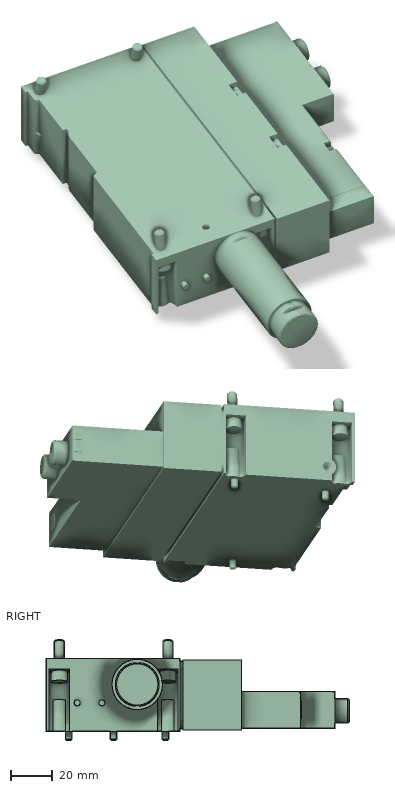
import cadquery as cq
import math


LENGTH = 142.2
MANIFOLD_DEPTH = 65.2
MANIFOLD_HEIGHT = 35.5

FOOT_WIDTH = 4.8
FOOT_STEP = 1.2
RAMP_START_X = 12.0
RAMP_END_X = 13.0
LEFT_PANEL_Y = 3.3
GROOVE_START_X = 37.5
GROOVE_FLOOR_END_X = 39.6
GROOVE_END_X = 42.8
GROOVE_FLOOR_Y = 5.5
MIDDLE_PANEL_Y = 4.0
MIDDLE_PANEL_END_X = 72.5
RIGHT_PANEL_START_X = 74.0

SCREW_TILT = 11.0
SCREW_EXIT_INSET = 7.5
SCREW_ROWS_Y = (6.5, 59.4)
SHANK_DIAMETER = 5.0
SHANK_LENGTH = 15.5
SHANK_CHAMFER = 0.6
HEAD_DIAMETER = 8.0
HEAD_HEIGHT = 5.0
SLOT_WIDTH = 10.0
SEAT_BELOW_TOP = 6.5
SLOT_RIB_DIAMETER = 10.0
SLOT_RIB_OFFSET = 7.9
SLOT_RIB_BELOW_SEAT = 13.3

PORT_Y = 13.7
PORT_Z = 6.9
PORT_BOSS_DIAMETER = 8.5
PORT_BOSS_LENGTH = 8.3
PORT_DIAMETER = 5.0
PORT_DEPTH = 2.5

VENT_X = 132.0
VENT_Y = 32.8
VENT_DIAMETER = 4.0
VENT_SEAT_DIAMETER = 2.5
VENT_DEPTH = 2.0

PIN_DIAMETER = 3.3
PIN_LENGTH = 4.4
PIN_CHAMFER = 0.6
PIN_PLACES = ((8.7, 58.1), (17.6, 11.0), (VENT_X, VENT_Y))
SIDE_PIN_DIAMETER = 3.0
SIDE_PIN_LENGTH = 2.7
SIDE_PIN_ROWS_Y = (15.2, 27.2)
SIDE_PIN_Z = 14.0

SILENCER_Y = 44.5
SILENCER_Z = 22.8
BARREL_DIAMETER = 24.5
BARREL_END_X = 197.2
CAP_DIAMETER = 21.4
CAP_END_X = 207.5
CAP_CHAMFER = 0.6
BARREL_NOTCH_START_X = 145.5
BARREL_NOTCH_END_X = 147.8
BARREL_NOTCH_FLOOR = 1.0
BARREL_NOTCH_DEPTH = 1.0
CAP_NOTCH_X = 202.0
CAP_NOTCH_TOP = 3.0
CAP_NOTCH_FLOOR = 1.5
CAP_NOTCH_DEPTH = 1.9
KEYWAY_WIDTH = 2.0
KEYWAY_DEPTH = 0.5

GASKET_THICKNESS = 1.5
GASKET_LEFT = 0.6
GASKET_RIGHT = 133.3
GASKET_MARGIN = 1.2
GASKET_CORNER = 4.2

BODY_FRONT = MANIFOLD_DEPTH + GASKET_THICKNESS
BODY_BACK = 95.3
BODY_MARGIN = 0.6

PLUG_LEFT = 0.6
PLUG_RIGHT = 59.8
PLUG_BOTTOM = 1.5
PLUG_TOP = 19.5
PLUG_BACK = 139.7
PLATE_THICKNESS = 1.0
PLATE_DROP = 0.2
TAB_LENGTH = 3.3
TAB_HEIGHT = 2.0
TAB_LEVELS = (7.3, 13.3)
CONNECTOR_PLACES_X = (15.4, 37.8)
CONNECTOR_Z = 10.0
CONNECTOR_DIAMETER = 12.0
CONNECTOR_END_Y = 147.8
CONNECTOR_CHAMFER = 0.8

COVER_END_X = 125.4
COVER_BACK = 124.0
COVER_FILLET = 1.2
END_CAP_X = 134.3
END_CAP_FILLET = 0.6
END_CAP_DROP = 0.2
BUTTON_X = 123.3
BUTTON_DIAMETER = 8.5
BUTTON_HEIGHT = 0.6

NOTCH_FLOOR_DEPTH = 3.3
REAR_HEAD_BELOW_TOP = 1.7
BODY_NOTCH_WIDTH = 9.0
BODY_NOTCH_REACH = 4.8
BODY_NOTCHES_X = (49.6, 92.2)
BODY_SCREW_HEADS_X = (50.0, 91.8)
BODY_SCREW_HEAD_DIAMETER = 7.9
BODY_SCREW_HEAD_RECESS = 1.0
COVER_NOTCH_X = 92.4
COVER_NOTCH_WIDTH = 6.2
COVER_NOTCH_REACH = 4.2
COVER_SCREW_HEAD_RECESS = 0.6


def box(x0, x1, y0, y1, z0, z1):
    return cq.Workplane("XY").box(x1 - x0, y1 - y0, z1 - z0, centered=False).translate((x0, y0, z0))


def rod(start, direction, diameter, length):
    return cq.Workplane(cq.Solid.makeCylinder(diameter / 2, length, cq.Vector(*start), cq.Vector(*direction)))


def place_on_screw_axis(shape, y, right_side):
    """Tilt a shape whose origin is the head seat and whose +Z is the screw axis, then put it in its side."""
    seat_inset = SCREW_EXIT_INSET - SEAT_BELOW_TOP * math.tan(math.radians(SCREW_TILT))
    shape = shape.rotate((0, 0, 0), (0, 1, 0), SCREW_TILT)
    shape = shape.translate((seat_inset, y, MANIFOLD_HEIGHT - SEAT_BELOW_TOP))
    if right_side:
        shape = shape.mirror("YZ").translate((LENGTH, 0, 0))
    return shape


def make_screw(y, right_side):
    shank = rod((0, 0, 0), (0, 0, 1), SHANK_DIAMETER, SHANK_LENGTH).faces(">Z").chamfer(SHANK_CHAMFER)
    head = rod((0, 0, -HEAD_HEIGHT), (0, 0, 1), HEAD_DIAMETER, HEAD_HEIGHT)
    return place_on_screw_axis(head.union(shank), y, right_side)


def screw_cutout(y, right_side):
    hole = rod((0, 0, 0), (0, 0, 1), SHANK_DIAMETER, SHANK_LENGTH)
    reach = MANIFOLD_HEIGHT
    slot = rod((0, 0, -reach), (0, 0, 1), SLOT_WIDTH, reach)
    slot = slot.union(box(-reach, 0, -SLOT_WIDTH / 2, SLOT_WIDTH / 2, -reach, 0))
    return place_on_screw_axis(slot.union(hole), y, right_side)


def slot_rib(y, right_side):
    """Round rib parallel to the screw that stands out of the slot floor, cut flush with the underside."""
    reach = MANIFOLD_HEIGHT
    rib = rod((SLOT_RIB_OFFSET, 0, -reach), (0, 0, 1), SLOT_RIB_DIAMETER, reach - SLOT_RIB_BELOW_SEAT)
    rib = place_on_screw_axis(rib, y, right_side)
    return rib.intersect(box(0, LENGTH, 0, MANIFOLD_DEPTH, 0, MANIFOLD_HEIGHT))


def make_manifold():
    outline = [
        (0, 0),
        (FOOT_WIDTH, 0),
        (FOOT_WIDTH, FOOT_STEP),
        (RAMP_START_X, FOOT_STEP),
        (RAMP_END_X, LEFT_PANEL_Y),
        (GROOVE_START_X, LEFT_PANEL_Y),
        (GROOVE_START_X, GROOVE_FLOOR_Y),
        (GROOVE_FLOOR_END_X, GROOVE_FLOOR_Y),
        (GROOVE_END_X, MIDDLE_PANEL_Y),
        (MIDDLE_PANEL_END_X, MIDDLE_PANEL_Y),
        (RIGHT_PANEL_START_X, FOOT_STEP),
        (LENGTH - FOOT_WIDTH, FOOT_STEP),
        (LENGTH - FOOT_WIDTH, 0),
        (LENGTH, 0),
        (LENGTH, MANIFOLD_DEPTH),
        (0, MANIFOLD_DEPTH),
    ]
    block = cq.Workplane("XY").polyline(outline).close().extrude(MANIFOLD_HEIGHT)
    for y in SCREW_ROWS_Y:
        for right_side in (False, True):
            block = block.cut(screw_cutout(y, right_side)).union(slot_rib(y, right_side))

    boss = rod((0, PORT_Y, PORT_Z), (1, 0, 0), PORT_BOSS_DIAMETER, PORT_BOSS_LENGTH)
    block = block.union(boss)
    port_cone = cq.Solid.makeCone(
        PORT_DIAMETER / 2, 0, PORT_DEPTH, cq.Vector(0, PORT_Y, PORT_Z), cq.Vector(1, 0, 0)
    )
    block = block.cut(cq.Workplane(port_cone))

    vent_cone = cq.Solid.makeCone(
        VENT_DIAMETER / 2, VENT_SEAT_DIAMETER / 2, VENT_DEPTH,
        cq.Vector(VENT_X, VENT_Y, MANIFOLD_HEIGHT), cq.Vector(0, 0, -1),
    )
    block = block.cut(cq.Workplane(vent_cone))

    for x, y in PIN_PLACES:
        pin = rod((x, y, 0), (0, 0, -1), PIN_DIAMETER, PIN_LENGTH).faces("<Z").chamfer(PIN_CHAMFER)
        block = block.union(pin)
    for y in SIDE_PIN_ROWS_Y:
        block = block.union(rod((LENGTH, y, SIDE_PIN_Z), (1, 0, 0), SIDE_PIN_DIAMETER, SIDE_PIN_LENGTH))
    return block


def cross_notch(profile):
    """A notch cut straight across a round side, with its profile given as (x, height above the axis)."""
    return cq.Workplane("XZ").polyline(profile).close().extrude(BARREL_DIAMETER / 2, both=True)


def make_silencer():
    barrel = rod((LENGTH, 0, 0), (1, 0, 0), BARREL_DIAMETER, BARREL_END_X - LENGTH)
    cap = rod((BARREL_END_X, 0, 0), (1, 0, 0), CAP_DIAMETER, CAP_END_X - BARREL_END_X)
    cap = cap.faces(">X").chamfer(CAP_CHAMFER)
    barrel_radius = BARREL_DIAMETER / 2
    cap_radius = CAP_DIAMETER / 2

    barrel_notch = cross_notch(
        [
            (BARREL_NOTCH_START_X, barrel_radius),
            (BARREL_NOTCH_END_X, barrel_radius),
            (BARREL_NOTCH_END_X, barrel_radius - BARREL_NOTCH_DEPTH),
            (BARREL_NOTCH_END_X - BARREL_NOTCH_FLOOR, barrel_radius - BARREL_NOTCH_DEPTH),
        ]
    )
    cap_notch = cross_notch(
        [
            (CAP_NOTCH_X - CAP_NOTCH_TOP / 2, cap_radius),
            (CAP_NOTCH_X + CAP_NOTCH_TOP / 2, cap_radius),
            (CAP_NOTCH_X + CAP_NOTCH_FLOOR / 2, cap_radius - CAP_NOTCH_DEPTH),
            (CAP_NOTCH_X - CAP_NOTCH_FLOOR / 2, cap_radius - CAP_NOTCH_DEPTH),
        ]
    )
    half_keyway = KEYWAY_WIDTH / 2
    keyway = box(BARREL_END_X, CAP_END_X, -half_keyway, half_keyway, cap_radius - KEYWAY_DEPTH, cap_radius)
    for turn in (0, 180):
        barrel = barrel.cut(barrel_notch.rotate((0, 0, 0), (1, 0, 0), turn))
        for recess in (cap_notch, keyway):
            cap = cap.cut(recess.rotate((0, 0, 0), (1, 0, 0), turn))
    return barrel.union(cap).translate((0, SILENCER_Y, SILENCER_Z))


def make_gasket():
    gasket = box(
        GASKET_LEFT, GASKET_RIGHT, MANIFOLD_DEPTH, BODY_FRONT, GASKET_MARGIN, MANIFOLD_HEIGHT - GASKET_MARGIN
    )
    return gasket.edges("|Y").fillet(GASKET_CORNER)


def cut_rear_notch(body, x, back, top, width, reach):
    return body.cut(box(x - width / 2, x + width / 2, back - reach, back, top - NOTCH_FLOOR_DEPTH, top))


def add_rear_screw_head(body, x, front, back, top, diameter):
    axis_z = top - REAR_HEAD_BELOW_TOP - diameter / 2
    return body.union(rod((x, front, axis_z), (0, 1, 0), diameter, back - front))


def make_valve_body():
    top = MANIFOLD_HEIGHT - BODY_MARGIN
    body = box(0, LENGTH, BODY_FRONT, BODY_BACK, BODY_MARGIN, top)
    notch_front = BODY_BACK - BODY_NOTCH_REACH
    head_back = BODY_BACK - BODY_SCREW_HEAD_RECESS
    for x in BODY_NOTCHES_X:
        body = cut_rear_notch(body, x, BODY_BACK, top, BODY_NOTCH_WIDTH, BODY_NOTCH_REACH)
    for x in BODY_SCREW_HEADS_X:
        body = add_rear_screw_head(body, x, notch_front, head_back, top, BODY_SCREW_HEAD_DIAMETER)
    return body


def make_plug_housing():
    housing = box(PLUG_LEFT, PLUG_RIGHT, BODY_BACK, PLUG_BACK, PLUG_BOTTOM, PLUG_TOP)
    plate_back = PLUG_BACK + PLATE_THICKNESS
    housing = housing.union(box(0, PLUG_RIGHT, PLUG_BACK, plate_back, PLUG_BOTTOM, PLUG_TOP - PLATE_DROP))
    for z in TAB_LEVELS:
        tab = box(0, PLUG_LEFT, PLUG_BACK - TAB_LENGTH, PLUG_BACK, z - TAB_HEIGHT / 2, z + TAB_HEIGHT / 2)
        housing = housing.union(tab)
    connector_length = CONNECTOR_END_Y - plate_back
    for x in CONNECTOR_PLACES_X:
        connector = rod((x, plate_back, CONNECTOR_Z), (0, 1, 0), CONNECTOR_DIAMETER, connector_length)
        housing = housing.union(connector.faces(">Y").chamfer(CONNECTOR_CHAMFER))
    return housing


def make_pilot_cover():
    cover = box(PLUG_RIGHT, COVER_END_X, BODY_BACK, COVER_BACK, PLUG_BOTTOM, PLUG_TOP)
    cover = cover.edges(">Y and >Z").fillet(COVER_FILLET)
    cover = cut_rear_notch(cover, COVER_NOTCH_X, COVER_BACK, PLUG_TOP, COVER_NOTCH_WIDTH, COVER_NOTCH_REACH)
    notch_front = COVER_BACK - COVER_NOTCH_REACH
    head_back = COVER_BACK - COVER_SCREW_HEAD_RECESS
    cover = add_rear_screw_head(cover, COVER_NOTCH_X, notch_front, head_back, PLUG_TOP, COVER_NOTCH_WIDTH)
    end_cap = box(COVER_END_X, END_CAP_X, BODY_BACK, COVER_BACK, PLUG_BOTTOM, PLUG_TOP - END_CAP_DROP)
    end_cap = end_cap.edges(">Y and >Z").fillet(END_CAP_FILLET)
    button_z = (PLUG_BOTTOM + PLUG_TOP) / 2
    button = rod((BUTTON_X, COVER_BACK, button_z), (0, 1, 0), BUTTON_DIAMETER, BUTTON_HEIGHT)
    return cover.union(end_cap).union(button)


manifold = make_manifold()
screws = [make_screw(y, right_side) for y in SCREW_ROWS_Y for right_side in (False, True)]
silencer = make_silencer()
gasket = make_gasket()
valve_body = make_valve_body()
plug_housing = make_plug_housing()
pilot_cover = make_pilot_cover()

result = cq.Compound.makeCompound(
    [
        manifold.val(),
        *[screw.val() for screw in screws],
        silencer.val(),
        gasket.val(),
        valve_body.val(),
        plug_housing.val(),
        pilot_cover.val(),
    ]
)